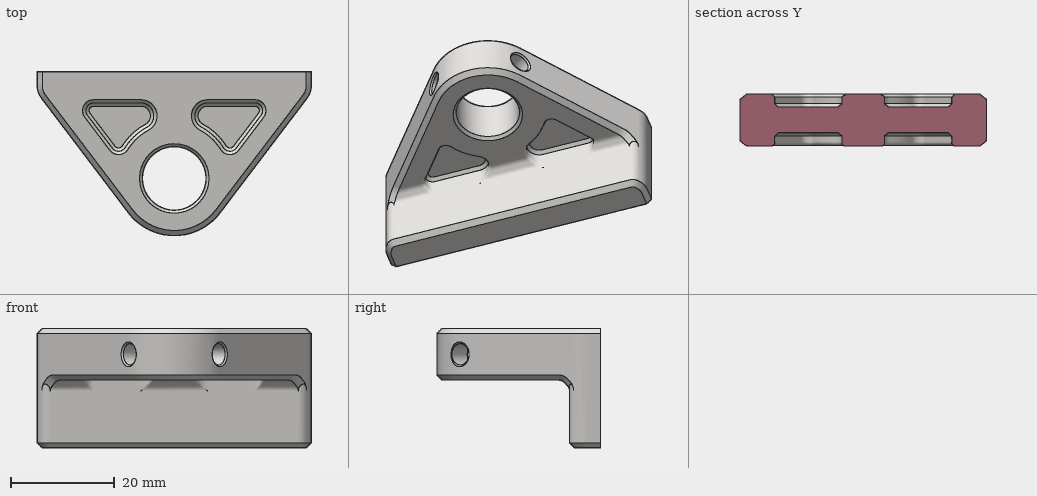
import cadquery as cq
import math

width = 52.8
height = 23.0
depth = 31.6
plate_thickness = 10.0
wall_thickness = 6.0
edge_chamfer = 1.0

nose_radius = 11.05
bore_diameter = 12.2
bore_chamfer = 0.6

side_length = 4.0
side_corner_radius = 3.95
wall_corner_radius = 2.0

blend_leg = 1.4
blend_radius = 1.5

cross_hole_diameter = 4.1
cross_hole_chamfer = 0.3

pocket_margin = 5.05
pocket_depth = 2.5
pocket_bevel = 0.65
bevel_clearance = 0.0005
pocket_small_radius = 1.5
pocket_large_radius = 2.5

half_width = width / 2
bore_radius = bore_diameter / 2
nose_y = nose_radius - depth
plate_bottom = height - plate_thickness

corner_to_nose_y = -side_length - nose_y
slant_angle = math.asin(nose_radius / math.hypot(half_width, corner_to_nose_y)) + math.atan2(
    corner_to_nose_y, half_width
)
normal_x = math.sin(slant_angle)
normal_y = -math.cos(slant_angle)
tangent_x = nose_radius * normal_x
tangent_y = nose_y + nose_radius * normal_y

blend_setback = blend_radius * math.tan(math.pi / 8)
blend_reach = blend_leg + blend_setback
blend_shift = blend_setback * math.cos(math.pi / 4)


def footprint(bottom, top):
    """Solid with the full outline between two heights."""
    body = (
        cq.Workplane("XY", origin=(0, 0, bottom))
        .moveTo(-half_width, 0)
        .lineTo(half_width, 0)
        .lineTo(half_width, -side_length)
        .lineTo(tangent_x, tangent_y)
        .threePointArc((0, -depth), (-tangent_x, tangent_y))
        .lineTo(-half_width, -side_length)
        .close()
        .extrude(top - bottom)
    )
    middle = (bottom + top) / 2
    for side in (-1, 1):
        corner = cq.selectors.NearestToPointSelector((side * half_width, -side_length, middle))
        body = body.edges("|Z").edges(corner).fillet(side_corner_radius)
    return body


def make_wall():
    """Back wall with rounded front corners and a chamfered foot."""
    slab = cq.Workplane("XY").box(width, wall_thickness, height, centered=(True, False, False))
    wall = footprint(0, plate_bottom).intersect(slab.translate((0, -wall_thickness, 0)))
    wall = wall.edges("|Z").edges("<Y").fillet(wall_corner_radius)
    return wall.faces("<Z").edges("not >Y").chamfer(edge_chamfer)


def make_blend():
    """Strip filling the corner between the wall and the underside of the plate."""
    face_y = -wall_thickness
    low = (face_y, plate_bottom - blend_reach)
    low_end = (face_y - blend_shift, plate_bottom - blend_leg + blend_shift)
    high_end = (face_y - blend_leg + blend_shift, plate_bottom - blend_shift)
    high = (face_y - blend_reach, plate_bottom)
    strip = (
        cq.Workplane("YZ", origin=(-half_width, 0, 0))
        .moveTo(*high)
        .lineTo(0, plate_bottom)
        .lineTo(0, low[1])
        .lineTo(*low)
        .radiusArc(low_end, -blend_radius)
        .lineTo(*high_end)
        .radiusArc(high, -blend_radius)
        .close()
        .extrude(width)
    )
    return strip.intersect(footprint(plate_bottom - blend_reach, plate_bottom))


def make_plate():
    """Horizontal plate with its blend strip and chamfered outer edges."""
    plate = footprint(plate_bottom, height).faces(">Z").edges("not >Y").chamfer(edge_chamfer)
    plate = plate.union(make_blend())
    nose_edge = cq.selectors.NearestToPointSelector((0, -depth, plate_bottom))
    return plate.edges(nose_edge).chamfer(edge_chamfer)


def arc_middle(center, radius, start, end):
    """Point of an arc halfway between its two ends, on the side away from its centre."""
    x = (start[0] + end[0]) / 2 - center[0]
    y = (start[1] + end[1]) / 2 - center[1]
    scale = radius / math.hypot(x, y)
    return (center[0] + x * scale, center[1] + y * scale)


def toward(center, target, distance):
    """Point at a distance from a centre in the direction of a target."""
    x = target[0] - center[0]
    y = target[1] - center[1]
    scale = distance / math.hypot(x, y)
    return (center[0] + x * scale, center[1] + y * scale)


def pocket_column(bottom, top, growth=0.0):
    """Prism with the outline of the right-hand pocket."""
    bore_center = (0, nose_y)
    back_y = -wall_thickness + growth
    small_radius = pocket_small_radius + growth
    large_radius = pocket_large_radius + growth
    margin = pocket_margin - growth
    ring_radius = bore_radius + margin
    slant_distance = nose_radius - margin - small_radius

    outer_y = back_y - small_radius
    outer = ((slant_distance - (outer_y - nose_y) * normal_y) / normal_x, outer_y)

    nose_distance = ring_radius + small_radius
    along_slant = math.sqrt(nose_distance**2 - slant_distance**2)
    nose = (
        slant_distance * normal_x - along_slant * normal_y,
        nose_y + slant_distance * normal_y + along_slant * normal_x,
    )

    inner_y = back_y - large_radius
    inner = (math.sqrt((ring_radius + large_radius) ** 2 - (inner_y - nose_y) ** 2), inner_y)

    shift_x = small_radius * normal_x
    shift_y = small_radius * normal_y
    inner_back = (inner[0], back_y)
    outer_back = (outer[0], back_y)
    outer_slant = (outer[0] + shift_x, outer[1] + shift_y)
    nose_slant = (nose[0] + shift_x, nose[1] + shift_y)
    nose_ring = toward(nose, bore_center, small_radius)
    inner_ring = toward(inner, bore_center, large_radius)
    ring_middle = arc_middle(bore_center, ring_radius, nose_ring, inner_ring)
    inner_side = (inner[0] - large_radius, inner[1])
    return (
        cq.Workplane("XY", origin=(0, 0, bottom))
        .moveTo(*inner_back)
        .lineTo(*outer_back)
        .threePointArc(arc_middle(outer, small_radius, outer_back, outer_slant), outer_slant)
        .lineTo(*nose_slant)
        .threePointArc(arc_middle(nose, small_radius, nose_slant, nose_ring), nose_ring)
        .threePointArc(ring_middle, inner_ring)
        .threePointArc(inner_side, inner_back)
        .close()
        .extrude(top - bottom)
    )


def on_both_sides(cutter):
    """Pair of cutters mirrored about the middle of the part."""
    return cutter.union(cutter.mirror("YZ"))


def cut_top_pockets(body):
    """Pockets in the top face with chamfered floor and rim."""
    pocket = pocket_column(height - pocket_depth, height).faces("<Z").edges().chamfer(pocket_bevel)
    rim = pocket_column(height - pocket_bevel, height + pocket_bevel, pocket_bevel)
    rim = rim.faces("<Z").edges().chamfer(pocket_bevel - bevel_clearance)
    return body.cut(on_both_sides(pocket)).cut(on_both_sides(rim))


def cut_underside_pockets(body):
    """Pockets in the underside, level with the wall face, that also split the blend strip."""
    pocket = pocket_column(plate_bottom - blend_reach, plate_bottom + pocket_depth)
    pocket = pocket.faces(">Z").edges().chamfer(pocket_bevel)
    body = body.cut(on_both_sides(pocket))
    ring_offset = (bore_radius + pocket_margin) * math.cos(math.pi / 4)
    for side in (-1, 1):
        rim = cq.selectors.NearestToPointSelector((side * ring_offset, nose_y + ring_offset, plate_bottom))
        body = body.edges(rim).fillet(pocket_bevel)
    return body


def cut_bore(body):
    """Through bore with chamfered ends."""
    bore = cq.Workplane("XY", origin=(0, nose_y, 0)).circle(bore_radius).extrude(height)
    body = body.cut(bore)
    for end in (plate_bottom, height):
        rim = cq.selectors.NearestToPointSelector((0, nose_y, end))
        body = body.edges("%CIRCLE").edges(rim).chamfer(bore_chamfer)
    return body


def cut_cross_holes(body):
    """Radial holes from the slanted sides into the bore, with countersunk mouths."""
    bore_axis = cq.Vector(0, nose_y, plate_bottom + plate_thickness / 2)
    hole_radius = cross_hole_diameter / 2
    for side in (-1, 1):
        outward = cq.Vector(side * normal_x, normal_y, 0)
        hole = cq.Solid.makeCylinder(hole_radius, nose_radius, bore_axis, outward)
        mouth = cq.Solid.makeCone(
            hole_radius,
            hole_radius + cross_hole_chamfer,
            cross_hole_chamfer,
            bore_axis + outward * (nose_radius - cross_hole_chamfer),
            outward,
        )
        body = body.cut(cq.Workplane(hole)).cut(cq.Workplane(mouth))
    return body


result = make_plate().union(make_wall())
result = cut_underside_pockets(result)
result = cut_top_pockets(result)
result = cut_bore(result)
result = cut_cross_holes(result)